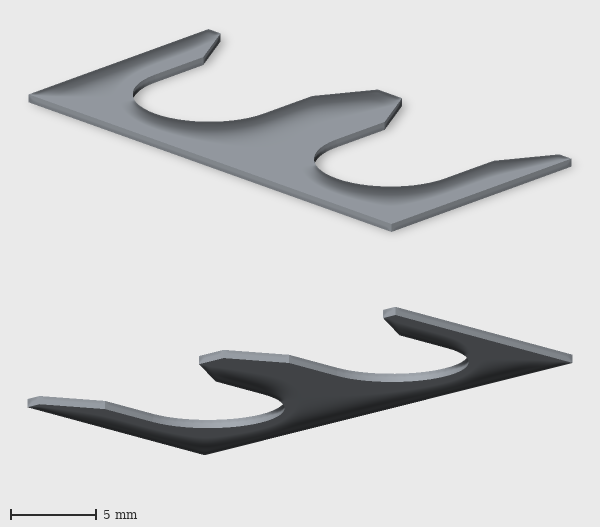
import cadquery as cq
import math

length = 30.0
width = 15.0
thickness = 0.5

slot_width = 9.0
slot_floor = 3.0
slot_pitch = length / 2

flare_spread = 2.0
flare_angle = 30.0

slot_radius = slot_width / 2
arc_center_y = slot_floor + slot_radius
flare_depth = flare_spread / math.tan(math.radians(flare_angle))
flare_start_y = width - flare_depth
mouth_half_width = slot_radius + flare_spread


def make_plate():
    """Rectangular sheet centred on X with its straight edge at Y = 0."""
    return cq.Workplane("XY").box(length, width, thickness, centered=(True, False, False))


def make_slot(center_x):
    """Solid that cuts one U-shaped slot with a flared mouth."""
    return (
        cq.Workplane("XY")
        .moveTo(center_x - mouth_half_width, width)
        .lineTo(center_x - slot_radius, flare_start_y)
        .lineTo(center_x - slot_radius, arc_center_y)
        .threePointArc((center_x, slot_floor), (center_x + slot_radius, arc_center_y))
        .lineTo(center_x + slot_radius, flare_start_y)
        .lineTo(center_x + mouth_half_width, width)
        .close()
        .extrude(thickness)
    )


result = make_plate()
for side in (-1, 1):
    result = result.cut(make_slot(side * slot_pitch / 2))